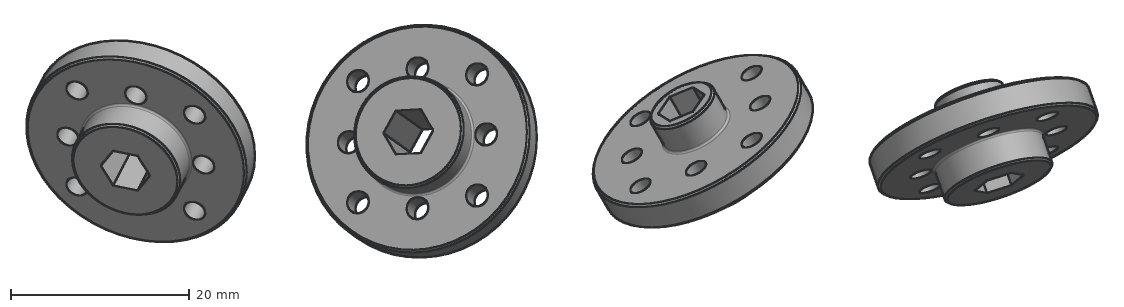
import cadquery as cq
import math

flange_diameter = 26.0
flange_thickness = 3.5
front_hub_diameter = 12.75
rear_hub_diameter = 8.0
hub_length = 3.75

edge_chamfer = 0.25
root_fillet = 0.25

hex_across_flats = 5.0
bolt_hole_diameter = 2.5
holes_per_circle = 4
inner_bolt_circle_diameter = 16.0
outer_bolt_circle_diameter = 19.6
diagonal_angle = 45

flange_front_y = -flange_thickness / 2
flange_rear_y = flange_thickness / 2
front_end_y = flange_front_y - hub_length
total_length = flange_thickness + 2 * hub_length


def y_plane(y):
    """XZ sketch plane at the given y whose normal points toward +Y."""
    return cq.Workplane(cq.Plane(origin=(0, y, 0), xDir=(1, 0, 0), normal=(0, 1, 0)))


def disc(diameter, start_y, length):
    """Round disc along Y."""
    return y_plane(start_y).circle(diameter / 2).extrude(length)


def make_flange():
    """Flange with both rims chamfered."""
    flange = disc(flange_diameter, flange_front_y, flange_thickness)
    return flange.edges("%CIRCLE").chamfer(edge_chamfer)


def make_hub(diameter, start_y, end_selector):
    """Hub with its free end chamfered."""
    hub = disc(diameter, start_y, hub_length)
    return hub.faces(end_selector).edges().chamfer(edge_chamfer)


def root_fillet_ring(hub_diameter, face_y, outward):
    """Concave fillet between a hub and the flange; outward is the hub's Y direction."""
    hub_radius = hub_diameter / 2
    fillet_center_x = hub_radius + root_fillet
    fillet_center_y = face_y + outward * root_fillet
    arc_offset = root_fillet * math.sqrt(0.5)
    return (
        cq.Workplane("XY")
        .moveTo(hub_radius, face_y)
        .lineTo(fillet_center_x, face_y)
        .threePointArc(
            (fillet_center_x - arc_offset, fillet_center_y - outward * arc_offset),
            (hub_radius, fillet_center_y),
        )
        .close()
        .revolve(360, (0, 0, 0), (0, 1, 0))
    )


def make_hex_bore():
    """Through hexagon with two corners on the X axis."""
    across_corners = hex_across_flats / math.cos(math.pi / 6)
    return y_plane(front_end_y).polygon(6, across_corners).extrude(total_length)


def make_bolt_holes(circle_diameter, start_angle):
    """Evenly spaced holes through the flange on one bolt circle."""
    return (
        y_plane(flange_front_y)
        .polarArray(circle_diameter / 2, start_angle, 360, holes_per_circle)
        .circle(bolt_hole_diameter / 2)
        .extrude(flange_thickness)
    )


body = (
    make_flange()
    .union(make_hub(front_hub_diameter, front_end_y, "<Y"))
    .union(make_hub(rear_hub_diameter, flange_rear_y, ">Y"))
    .union(root_fillet_ring(front_hub_diameter, flange_front_y, -1))
    .union(root_fillet_ring(rear_hub_diameter, flange_rear_y, 1))
)

result = (
    body.cut(make_hex_bore())
    .cut(make_bolt_holes(inner_bolt_circle_diameter, 0))
    .cut(make_bolt_holes(outer_bolt_circle_diameter, diagonal_angle))
)